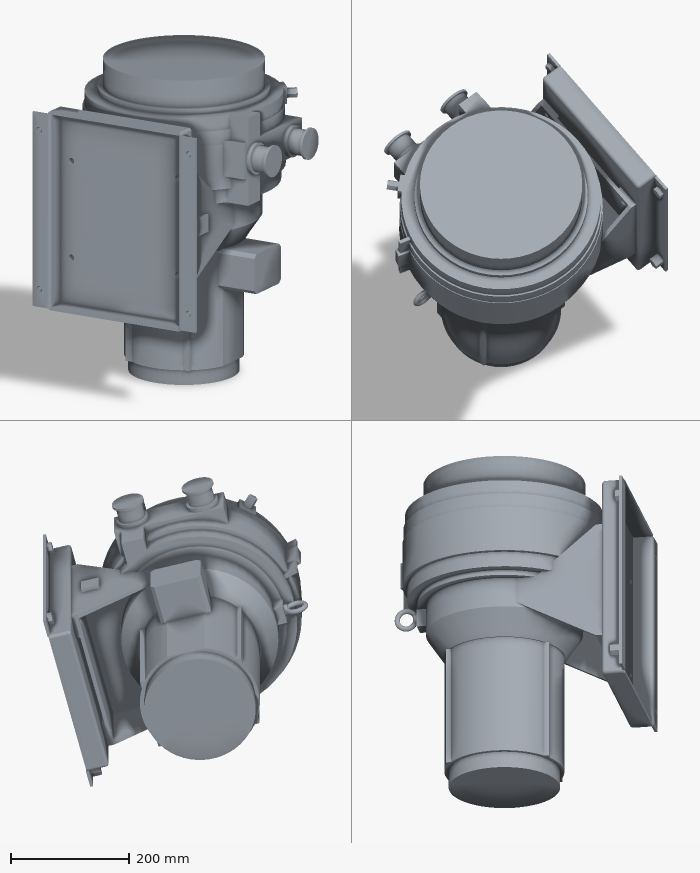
import cadquery as cq
import math


END_CAP_RADIUS, END_CAP_TOP = 94.5, 28.0
MOTOR_RADIUS, MOTOR_TOP = 101.5, 233.5
CONE_BASE_RADIUS = 103.5
NECK_RADIUS, CONE_TOP = 133.0, 277.0
NECK_TOP = 328.5
LOWER_STEP_RADIUS, LOWER_STEP_TOP = 147.0, 337.5
LOWER_RING_RADIUS, LOWER_RING_TOP = 164.5, 363.5
BODY_RADIUS, BODY_TOP = 172.0, 442.5
SHOULDER_RADIUS, SHOULDER_TOP = 171.0, 467.5
UPPER_RING_RADIUS, UPPER_RING_TOP = 168.5, 492.0
UPPER_STEP_RADIUS, UPPER_STEP_TOP = 146.5, 501.0
INLET_RADIUS, INLET_TOP = 137.0, 548.5

CORE_X, CORE_Y = 125.0, 176.5
MOTOR_FLAT_X = 96.0

TERMINAL_END_X = 164.5
TERMINAL_WIDTH = 88.0
TERMINAL_BOTTOM, TERMINAL_TOP = 166.0, 236.5
TERMINAL_CHAMFER = 6.5

MANIFOLD_X = 180.0
ARM_Y_MIN, ARM_Y_MAX = -90.5, -52.0
BAR_Y_MIN, BAR_Y_MAX = -103.0, 88.0
BAR_BOTTOM, BAR_TOP = 386.5, 448.0

PORT_YS = (51.5, -70.0)
PORT_Z = 416.5
PORT_RIM_RADIUS, PORT_TUBE_RADIUS = 27.5, 22.5
PORT_COLLAR_LENGTH, PORT_TUBE_LENGTH, PORT_LIP_LENGTH = 7.0, 26.5, 4.5

CONNECTOR_ANGLE = 75.0
BLADE_RADIUS, BLADE_WIDTH = 187.5, 6.0
BLADE_BOTTOM, BLADE_TOP = 353.0, 478.0
PLUG_RADIUS, PLUG_WIDTH = 192.0, 14.0
PLUG_BOTTOM, PLUG_TOP = 392.0, 437.5

HEX_PLUG_ANGLE = 42.0
PAD_RADIUS, PAD_SIZE = 175.0, 30.5
HEX_PLUG_RADIUS, HEX_PLUG_CORNERS = 194.5, 17.5

BOSS_Y, BOSS_WIDTH = 148.0, 30.5
BOSS_BOTTOM = 298.0

EYE_RADIUS = 20.5
EYE_WIRE_RADIUS = 4.5
EYE_Z = 316.5
EYE_COLLAR_RADIUS, EYE_COLLAR_LENGTH = 9.5, 6.5

SHEET = 5.5
PAN_WIDTH = 261.0
PAN_BOTTOM, PAN_TOP = 143.0, 493.5
PAN_BACK_Y, PAN_RIM_Y = -192.0, -231.0
FLANGE_WIDTH = 320.5
FLANGE_BOTTOM, FLANGE_TOP = 146.5, 488.0
FLANGE_FRONT_Y, FLANGE_BACK_Y = -232.5, -227.5
HOLE_DIAMETER = 10.5
PAN_HOLE_XS, PAN_HOLE_ZS = (-104.0, 104.0), (231.0, 401.0)
FOOT_XS, FOOT_ZS = (-146.5, 146.5), (178.0, 458.5)

SADDLE_WIDTH = 250.0
GUSSET_THICKNESS = 7.0
BACK_PLATE_Y = -181.0
SADDLE_BOTTOM, SADDLE_TOP = 215.0, 416.5
GUSSET_TIP_Y, GUSSET_TIP_BOTTOM = -45.5, 284.5
GUSSET_SLOPE_END_Y = -76.0
SLOT_WIDTH, SLOT_DEPTH = 167.0, 4.5
LUG_Y_MIN, LUG_Y_MAX = -173.5, -142.5
LUG_BOTTOM, LUG_TOP = 298.0, 328.5
LUG_THICKNESS = 7.0

HEX_CORNERS, HEX_HEIGHT = 20.5, 8.0
SHANK_DIAMETER = 7.5


def block(x_min, x_max, y_min, y_max, z_min, z_max):
    """Box between two limits on each axis."""
    size = (x_max - x_min, y_max - y_min, z_max - z_min)
    return cq.Workplane("XY").box(*size, centered=False).translate((x_min, y_min, z_min))


def radial_block(radius, width, z_min, z_max, angle):
    """Box that runs from the pump axis outwards at an angle from +X."""
    half = width / 2
    return block(0, radius, -half, half, z_min, z_max).rotate((0, 0, 0), (0, 0, 1), angle)


def make_round_body():
    """Turned body of the pump, revolved about its axis."""
    steps = [
        (NECK_RADIUS, CONE_TOP, NECK_TOP),
        (LOWER_STEP_RADIUS, NECK_TOP, LOWER_STEP_TOP),
        (LOWER_RING_RADIUS, LOWER_STEP_TOP, LOWER_RING_TOP),
        (BODY_RADIUS, LOWER_RING_TOP, BODY_TOP),
        (SHOULDER_RADIUS, BODY_TOP, SHOULDER_TOP),
        (UPPER_RING_RADIUS, SHOULDER_TOP, UPPER_RING_TOP),
        (UPPER_STEP_RADIUS, UPPER_RING_TOP, UPPER_STEP_TOP),
        (INLET_RADIUS, UPPER_STEP_TOP, INLET_TOP),
    ]
    outline = [(0, MOTOR_TOP), (CONE_BASE_RADIUS, MOTOR_TOP)]
    for radius, bottom, top in steps:
        outline += [(radius, bottom), (radius, top)]
    outline.append((0, INLET_TOP))
    return cq.Workplane("XZ").polyline(outline).close().revolve(360, (0, 0, 0), (0, 1, 0))


def make_motor():
    length = MOTOR_TOP - END_CAP_TOP
    plane = cq.Workplane("XY", origin=(0, 0, END_CAP_TOP))
    shell = plane.circle(MOTOR_RADIUS).extrude(length)
    core = plane.rect(CORE_X, CORE_Y).extrude(length)
    beyond_flat = block(
        MOTOR_FLAT_X, MOTOR_RADIUS, -MOTOR_RADIUS, MOTOR_RADIUS, END_CAP_TOP, MOTOR_TOP
    )
    end_cap = cq.Workplane("XY").circle(END_CAP_RADIUS).extrude(END_CAP_TOP)
    half = TERMINAL_WIDTH / 2
    terminal_box = block(0, TERMINAL_END_X, -half, half, TERMINAL_BOTTOM, TERMINAL_TOP)
    terminal_box = terminal_box.edges("|X").chamfer(TERMINAL_CHAMFER)
    return shell.union(core).cut(beyond_flat).union(end_cap).union(terminal_box)


def make_manifold():
    arm = block(0, MANIFOLD_X, ARM_Y_MIN, ARM_Y_MAX, LOWER_STEP_TOP, UPPER_RING_TOP)
    bar = block(0, MANIFOLD_X, BAR_Y_MIN, BAR_Y_MAX, BAR_BOTTOM, BAR_TOP)
    return arm.union(bar)


def make_port(y):
    """Port with a collar on the manifold, a tube and an end lip."""
    port = cq.Workplane("YZ", origin=(MANIFOLD_X, y, PORT_Z))
    port = port.circle(PORT_RIM_RADIUS).extrude(PORT_COLLAR_LENGTH)
    port = port.faces(">X").workplane().circle(PORT_TUBE_RADIUS).extrude(PORT_TUBE_LENGTH)
    return port.faces(">X").workplane().circle(PORT_RIM_RADIUS).extrude(PORT_LIP_LENGTH)


def make_connector():
    blade = radial_block(BLADE_RADIUS, BLADE_WIDTH, BLADE_BOTTOM, BLADE_TOP, CONNECTOR_ANGLE)
    plug = radial_block(PLUG_RADIUS, PLUG_WIDTH, PLUG_BOTTOM, PLUG_TOP, CONNECTOR_ANGLE)
    return blade.union(plug)


def make_hex_plug():
    pad_bottom = UPPER_RING_TOP - PAD_SIZE
    pad = radial_block(PAD_RADIUS, PAD_SIZE, pad_bottom, UPPER_RING_TOP, HEX_PLUG_ANGLE)
    hexagon = (
        cq.Workplane("YZ", origin=(0, 0, UPPER_RING_TOP - PAD_SIZE / 2))
        .polygon(6, HEX_PLUG_CORNERS)
        .extrude(HEX_PLUG_RADIUS)
        .rotate((0, 0, 0), (0, 0, 1), HEX_PLUG_ANGLE)
    )
    return pad.union(hexagon)


def make_pump():
    half = BOSS_WIDTH / 2
    boss = block(-half, half, 0, BOSS_Y, BOSS_BOTTOM, NECK_TOP)
    pump = make_round_body().union(make_motor()).union(make_manifold()).union(boss)
    for y in PORT_YS:
        pump = pump.union(make_port(y))

    return pump.union(make_connector()).union(make_hex_plug())


def make_eyebolt():
    ring_radius = EYE_RADIUS - EYE_WIRE_RADIUS
    center = cq.Vector(0, BOSS_Y + EYE_RADIUS, EYE_Z)
    ring = cq.Workplane(
        cq.Solid.makeTorus(ring_radius, EYE_WIRE_RADIUS, center, cq.Vector(1, 0, 0))
    )
    collar = cq.Workplane("XZ", origin=(0, BOSS_Y, EYE_Z))
    collar = collar.circle(EYE_COLLAR_RADIUS).extrude(-EYE_COLLAR_LENGTH)
    return ring.union(collar)


def hole_pins(xs, zs):
    """Cylinders along Y that cut a grid of holes through the sheet metal."""
    points = [(x, z) for x in xs for z in zs]
    pins = cq.Workplane("XZ", origin=(0, BACK_PLATE_Y, 0)).pushPoints(points)
    return pins.circle(HOLE_DIAMETER / 2).extrude(BACK_PLATE_Y - FLANGE_FRONT_Y)


def make_fold_relief(side):
    """Cutter that rounds the fold between a side wall (-1 or 1) and its flange."""
    inner = side * (PAN_WIDTH / 2 - SHEET)
    outer = side * PAN_WIDTH / 2
    fold_y = FLANGE_FRONT_Y + SHEET
    arc_inset = SHEET * math.sqrt(0.5)
    middle = (outer - side * arc_inset, fold_y - arc_inset)
    corner = cq.Workplane("XY", origin=(0, 0, PAN_BOTTOM))
    corner = corner.moveTo(inner, FLANGE_FRONT_Y)
    corner = corner.lineTo(outer, FLANGE_FRONT_Y).threePointArc(middle, (inner, fold_y)).close()
    return corner.extrude(PAN_TOP - PAN_BOTTOM)


def make_pan():
    half = PAN_WIDTH / 2
    inner = half - SHEET
    tray = block(-half, half, PAN_RIM_Y, PAN_BACK_Y, PAN_BOTTOM, PAN_TOP)
    tray = tray.edges("|Y or >Y").fillet(SHEET)
    flange_half = FLANGE_WIDTH / 2
    flange = block(
        -flange_half, flange_half, FLANGE_FRONT_Y, FLANGE_BACK_Y, FLANGE_BOTTOM, FLANGE_TOP
    )
    cavity = block(
        -inner, inner, FLANGE_FRONT_Y, PAN_BACK_Y - SHEET, PAN_BOTTOM + SHEET, PAN_TOP - SHEET
    )
    rim_strip = block(-inner, inner, FLANGE_FRONT_Y, PAN_RIM_Y, FLANGE_BOTTOM, FLANGE_TOP)
    pan = tray.union(flange).cut(cavity).cut(rim_strip)

    for side in (-1, 1):
        pan = pan.cut(make_fold_relief(side))
    return pan.cut(hole_pins(PAN_HOLE_XS, PAN_HOLE_ZS)).cut(hole_pins(FOOT_XS, FOOT_ZS))


def make_gusset(x_min):
    outline = [
        (PAN_BACK_Y, SADDLE_BOTTOM),
        (BACK_PLATE_Y, SADDLE_BOTTOM),
        (GUSSET_TIP_Y, GUSSET_TIP_BOTTOM),
        (GUSSET_TIP_Y, NECK_TOP),
        (GUSSET_SLOPE_END_Y, NECK_TOP),
        (BACK_PLATE_Y, SADDLE_TOP),
        (PAN_BACK_Y, SADDLE_TOP),
    ]
    plane = cq.Workplane("YZ", origin=(x_min, 0, 0))
    return plane.polyline(outline).close().extrude(GUSSET_THICKNESS)


def make_saddle(pump):
    half = SADDLE_WIDTH / 2
    slot_half = SLOT_WIDTH / 2
    saddle = block(-half, half, PAN_BACK_Y, BACK_PLATE_Y, SADDLE_BOTTOM, SADDLE_TOP)
    slot = block(
        -slot_half, slot_half, PAN_BACK_Y, PAN_BACK_Y + SLOT_DEPTH, SADDLE_BOTTOM, SADDLE_TOP
    )
    floor = block(
        -half, half, BACK_PLATE_Y, GUSSET_TIP_Y, NECK_TOP - GUSSET_THICKNESS, NECK_TOP
    )
    lug = block(half, half + LUG_THICKNESS, LUG_Y_MIN, LUG_Y_MAX, LUG_BOTTOM, LUG_TOP)
    saddle = saddle.cut(slot).union(floor).union(lug)
    for x_min in (-half, half - GUSSET_THICKNESS):
        saddle = saddle.union(make_gusset(x_min))
    return saddle.cut(hole_pins(PAN_HOLE_XS, PAN_HOLE_ZS)).cut(pump)


def make_hexagon(x, y, z):
    """Hexagon that rises towards +Y from y, with corners at top and bottom."""
    plane = cq.Workplane("XZ", origin=(x, y, z)).transformed(rotate=(0, 0, 90))
    return plane.polygon(6, HEX_CORNERS).extrude(-HEX_HEIGHT)


def make_foot_screw(x, z):
    """Hexagon head on the back of the flange with a shank flush with the flange front."""
    shank = cq.Workplane("XZ", origin=(x, FLANGE_BACK_Y, z)).circle(SHANK_DIAMETER / 2)
    return make_hexagon(x, FLANGE_BACK_Y, z).union(shank.extrude(FLANGE_BACK_Y - FLANGE_FRONT_Y))


pump = make_pump()
eyebolt = make_eyebolt()
pan = make_pan()
saddle = make_saddle(pump)
foot_screws = [make_foot_screw(x, z) for x in FOOT_XS for z in FOOT_ZS]
lock_nut = make_hexagon(FOOT_XS[0], FLANGE_BACK_Y + HEX_HEIGHT, FOOT_ZS[0])

result = cq.Compound.makeCompound(
    [pump.val(), eyebolt.val(), pan.val(), saddle.val(), lock_nut.val()]
    + [screw.val() for screw in foot_screws]
)